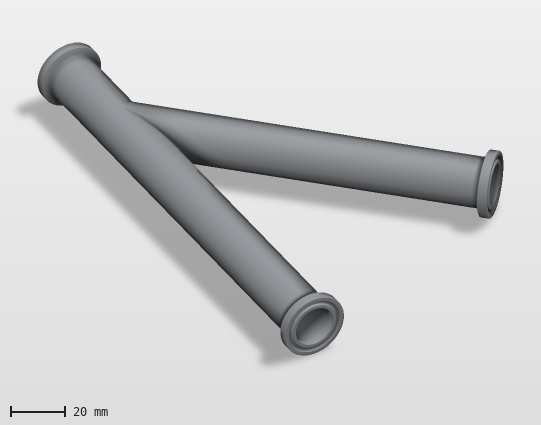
import cadquery as cq
import math

run_length = 177.8
tube_radius = 19.0 / 2
bore_radius = 15.8 / 2

branch_angle = 45.0
branch_length = 141.2
branch_start_x = -50.9

ferrule_length = 12.5
flange_radius = 25.0 / 2
rim_width = 3.5
rim_round = 0.4
back_angle = 20.0
neck_fillet = 1.6

groove_outer_radius = 21.9 / 2
groove_inner_radius = 9.2
groove_depth = 0.9
groove_lip_round = 0.4

flange_root = rim_width + (flange_radius - tube_radius) * math.tan(math.radians(back_angle))


def ferrule():
    """Solid flange around X: face at x = 0, body and neck toward -X."""
    body = (
        cq.Workplane("XY")
        .moveTo(0, 0)
        .lineTo(0, flange_radius)
        .lineTo(-rim_width, flange_radius)
        .lineTo(-flange_root, tube_radius)
        .lineTo(-ferrule_length, tube_radius)
        .lineTo(-ferrule_length, 0)
        .close()
        .revolve(360, (0, 0, 0), (1, 0, 0))
    )
    tube_edges = cq.selectors.RadiusNthSelector(0)
    body = body.edges(tube_edges).edges(">X").fillet(neck_fillet)
    rim_edges = cq.selectors.RadiusNthSelector(-1)
    body = body.edges(rim_edges).fillet(rim_round)
    body = body.cut(gasket_groove())
    groove_lip = cq.selectors.RadiusNthSelector(0)
    return body.faces(">X").edges(groove_lip).fillet(groove_lip_round)


def gasket_groove():
    """Ring with an arc-shaped floor, sunk into the ferrule face."""
    middle_radius = (groove_outer_radius + groove_inner_radius) / 2
    return (
        cq.Workplane("XY")
        .moveTo(0, groove_inner_radius)
        .threePointArc((-groove_depth, middle_radius), (0, groove_outer_radius))
        .close()
        .revolve(360, (0, 0, 0), (1, 0, 0))
    )


def rod(radius, length):
    """Cylinder along +X from the origin."""
    return cq.Workplane("YZ").circle(radius).extrude(length)


def place_branch(shape):
    """Move a shape lying along +X from the origin onto the branch axis."""
    return shape.rotate((0, 0, 0), (0, 0, 1), branch_angle).translate((branch_start_x, 0, 0))


half_run = run_length / 2
right_ferrule = ferrule().translate((half_run, 0, 0))
left_ferrule = right_ferrule.mirror("YZ")

run = rod(tube_radius, run_length - 2 * ferrule_length).translate((ferrule_length - half_run, 0, 0))
run = run.union(right_ferrule).union(left_ferrule)

branch = rod(tube_radius, branch_length - ferrule_length)
branch = branch.union(ferrule().translate((branch_length, 0, 0)))

run_bore = rod(bore_radius, run_length).translate((-half_run, 0, 0))
branch_bore = rod(bore_radius, branch_length)

result = run.union(place_branch(branch)).cut(run_bore).cut(place_branch(branch_bore))